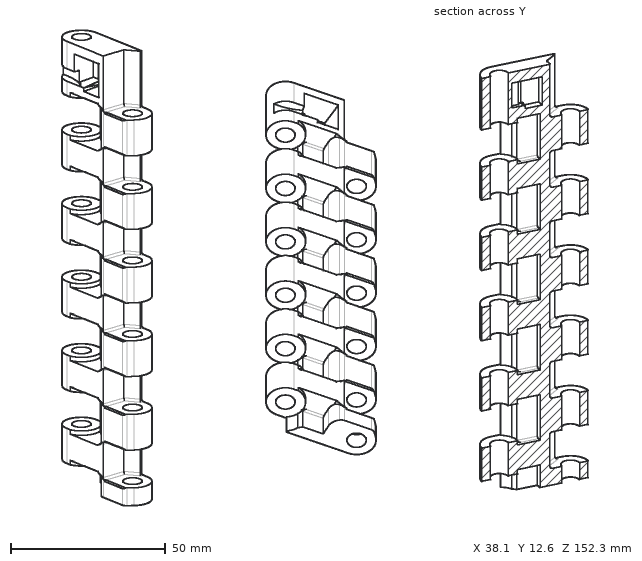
import cadquery as cq
import math

length = 152.3
link_count = 6
pitch = length / link_count
pin_spacing = 25.5
thickness = 12.6
radius = thickness / 2
pin_hole_diameter = 6.2

body_right = 18.1
lip_root_y = 2.6
lip_end = 22.5
lip_tip = 0.6

knuckle_height = 12.3
knuckle_turn = math.radians(53)
knuckle_corner_radius = 1.8
knuckle_edge_chamfer = 0.5
root_fillet = 0.8

gap_height = 13.3
clearance_radius = 6.5
recess_height = 16.3
floor_y = 2.0
floor_left = 7.2
web_edge_x = 5.8
recess_right = 14.5
recess_corner = 1.8
shoulder_y = -1.7
shoulder_end = (16.6, -5.8)
web_end_x = 3.2
floor_fillet = 0.65

window_left = 3.8
window_right = 16.0
window_top = length - 3.4
window_bottom = length - 15.0
shelf_bottom = length - 13.7
shelf_y = 1.0
shelf_right = 7.2
shelf_slope = 1.4
window_draft = 7
slot_height = 4.3
slot_start = (-5.5, -3.0)
slot_middle = (1.5, -3.7)
slot_end = (5.8, -5.2)

clear_of_part = thickness
pick_margin = 0.2
knuckle_levels = [pitch * i for i in range(link_count)]


def prism(profile, z_middle, height):
    """Extrude a closed XY outline symmetrically about a height."""
    return profile.extrude(height / 2, both=True).translate((0, 0, z_middle))


def make_body():
    return (
        cq.Workplane("XY")
        .moveTo(0, -radius)
        .lineTo(body_right, -radius)
        .lineTo(body_right, lip_root_y)
        .lineTo(lip_end, radius - lip_tip)
        .lineTo(lip_end, radius)
        .lineTo(0, radius)
        .threePointArc((-radius, 0), (0, -radius))
        .close()
        .extrude(length)
    )


def make_knuckle(z_middle):
    """Round-ended block about the right pin axis, with a flat facet on its front corner."""
    corner_x = pin_spacing + radius * math.tan(knuckle_turn / 2)
    facet_end = (pin_spacing + radius * math.sin(knuckle_turn), -radius * math.cos(knuckle_turn))
    outline = (
        cq.Workplane("XY")
        .moveTo(recess_right, -radius)
        .lineTo(corner_x, -radius)
        .lineTo(*facet_end)
        .threePointArc((pin_spacing + radius, 0), (pin_spacing, radius))
        .lineTo(recess_right, radius)
        .close()
    )
    block = prism(outline, z_middle, knuckle_height)
    corner = cq.selectors.NearestToPointSelector((corner_x, -radius, z_middle))
    return block.edges("|Z").edges(corner).fillet(knuckle_corner_radius)


def make_knuckle_bevels(z_middle):
    """Wedges that bevel the two front edges of a knuckle, clear of its root."""
    start = body_right + root_fillet
    bevels = cq.Workplane("XY")
    for side in (-1, 1):
        edge_z = z_middle + side * knuckle_height / 2
        wedge = (
            cq.Workplane("YZ", origin=(start, 0, 0))
            .moveTo(-radius, edge_z - side * knuckle_edge_chamfer)
            .lineTo(-radius + knuckle_edge_chamfer, edge_z)
            .lineTo(-radius, edge_z)
            .close()
            .extrude(pin_spacing + radius - start)
        )
        bevels = bevels.add(wedge)
    return bevels.combine()


def fillet_knuckle_roots(part):
    """Round the inner corners where the knuckles leave the body and its lip."""
    for level in knuckle_levels:
        for z in (level - knuckle_height / 2, level + knuckle_height / 2):
            if z < 0:
                continue
            box = cq.selectors.BoxSelector(
                (body_right - pick_margin, -radius - pick_margin, z - pick_margin),
                (lip_end + pick_margin, radius - pick_margin, z + pick_margin),
            )
            part = part.edges("#Z").edges(box).fillet(root_fillet)
    return part


def make_gap(z_middle):
    """Room for the mating knuckle: a swing cylinder opening into a taller recess."""
    swing = cq.Workplane("XY").circle(clearance_radius)
    swing = prism(swing, z_middle, gap_height)
    behind = cq.Workplane("XY").box(2 * radius, 2 * radius, gap_height)
    behind = behind.translate((web_end_x - radius, radius, z_middle))
    swing = swing.union(behind)

    web_edge_y = math.sqrt(clearance_radius ** 2 - web_edge_x ** 2)
    section = (
        cq.Workplane("XY")
        .moveTo(0, -clear_of_part)
        .lineTo(0, 0)
        .lineTo(web_edge_x, web_edge_y)
        .lineTo(floor_left, floor_y)
        .lineTo(recess_right, floor_y)
        .lineTo(recess_right, shoulder_y)
        .tangentArcPoint(shoulder_end, relative=False)
        .tangentArcPoint((body_right, -radius), relative=False)
        .lineTo(body_right, -clear_of_part)
        .close()
    )
    recess = prism(section, z_middle, recess_height)
    floor_ends = cq.selectors.BoxSelector(
        (floor_left, floor_y - pick_margin, z_middle - recess_height),
        (recess_right - pick_margin, floor_y + pick_margin, z_middle + recess_height),
    )
    recess = recess.edges("|X").edges(floor_ends).fillet(floor_fillet)

    half = recess_height / 2
    front = (
        cq.Workplane("XZ", origin=(0, 0, z_middle))
        .moveTo(0, -half)
        .lineTo(recess_right + recess_corner / 2, -half)
        .lineTo(body_right, -half + recess_corner)
        .lineTo(body_right, half - recess_corner)
        .lineTo(recess_right + recess_corner / 2, half)
        .lineTo(0, half)
        .close()
        .extrude(clear_of_part, both=True)
    )
    collar = prism(cq.Workplane("XY").circle(clearance_radius), z_middle, 2 * recess_height)
    return recess.intersect(front).cut(collar).union(swing)


def make_window():
    """Drafted pocket with a deep floor on the right and a raised shelf on the left."""
    slope_end = shelf_right + shelf_slope
    pocket = (
        cq.Workplane("XZ", origin=(0, -radius, 0))
        .moveTo(window_left, window_top)
        .lineTo(window_right, window_top)
        .lineTo(window_right, window_bottom)
        .lineTo(slope_end, window_bottom)
        .lineTo(slope_end, shelf_bottom)
        .lineTo(window_left, shelf_bottom)
        .close()
        .extrude(-(floor_y + radius), taper=window_draft)
    )
    shelf = (
        cq.Workplane("XY")
        .moveTo(0, shelf_y)
        .lineTo(shelf_right, shelf_y)
        .lineTo(slope_end, floor_y)
        .lineTo(slope_end, radius)
        .lineTo(0, radius)
        .close()
        .extrude(length)
    )
    return pocket.cut(shelf)


def make_slot():
    """Shallow curved groove across the front of the top finger into the window."""
    outline = (
        cq.Workplane("XY")
        .moveTo(*slot_start)
        .threePointArc(slot_middle, slot_end)
        .lineTo(slot_end[0], -clear_of_part)
        .lineTo(-radius, -clear_of_part)
        .lineTo(-radius, slot_start[1])
        .close()
    )
    return prism(outline, shelf_bottom + slot_height / 2, slot_height)


part = make_body()
for level in knuckle_levels:
    part = part.union(make_knuckle(level))
below = cq.Workplane("XY").box(4 * pin_spacing, 2 * thickness, knuckle_height)
part = part.cut(below.translate((0, 0, -knuckle_height / 2)))
part = fillet_knuckle_roots(part)
for level in knuckle_levels:
    part = part.cut(make_gap(level)).cut(make_knuckle_bevels(level))
part = part.cut(make_window()).cut(make_slot())
pin_holes = (
    cq.Workplane("XY")
    .pushPoints([(0, 0), (pin_spacing, 0)])
    .circle(pin_hole_diameter / 2)
    .extrude(length)
)
result = part.cut(pin_holes)